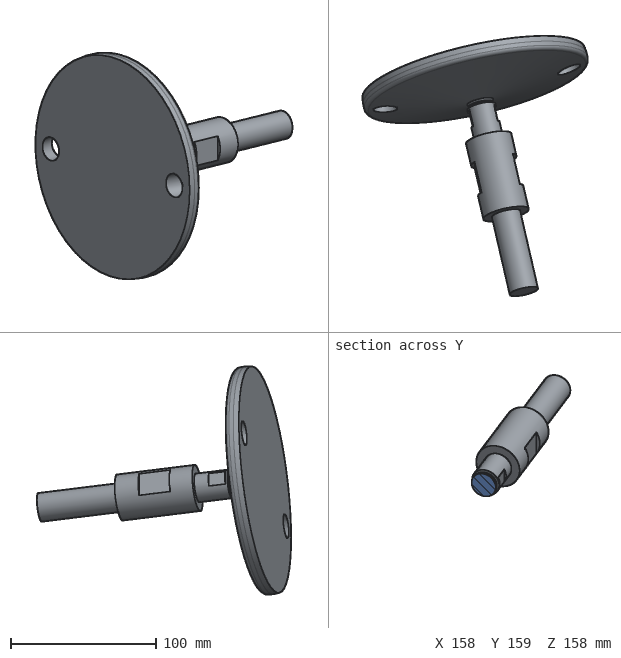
import cadquery as cq
import math

TOTAL_LENGTH = 159.0

PAD_DIAMETER = 158.0
UNDERSIDE_DIAMETER = 157.1
TAPER_HEIGHT = 4.0
RIM_HEIGHT = 7.0
RIM_FILLET = 2.9
CONE_ANGLE = 9.4
CONE_TOP_RADIUS = 9.2
SCREW_HOLE_DIAMETER = 16.5
SCREW_HOLE_OFFSET = 62.8

STUD_DIAMETER = 20.0
STUD_SHOULDER = 24.5
STUD_FLATS_WIDTH = 17.3
STUD_FLATS_START = 26.0
STUD_FLATS_END = 37.7
NECK_RADIUS = 7.3
WAIST_RADIUS = 8.0
COLLAR_RADIUS = 8.7
WAIST_HEIGHT = 22.4
COLLAR_TOP = 23.4

SLEEVE_DIAMETER = 32.1
SLEEVE_START = 47.7
SLEEVE_END = 102.5
SLEEVE_FLATS_WIDTH = 27.0
SLEEVE_FLATS_START = 63.9
SLEEVE_FLATS_END = 85.9

pad_radius = PAD_DIAMETER / 2
cone_slope = math.radians(CONE_ANGLE)
fillet_center_radius = pad_radius - RIM_FILLET
cone_base_radius = fillet_center_radius + RIM_FILLET * math.sin(cone_slope)
cone_base_height = RIM_HEIGHT + RIM_FILLET * math.cos(cone_slope)
pad_height = cone_base_height + (cone_base_radius - CONE_TOP_RADIUS) * math.tan(cone_slope)
fillet_mid_angle = (math.pi / 2 - cone_slope) / 2


def turn(profile):
    """Revolve a closed half profile about the Y axis."""
    return profile.close().revolve(360, (0, 0, 0), (0, 1, 0))


def cut_flats(body, diameter, across, start, end):
    """Cut two parallel flats facing -X and +X between two heights."""
    depth = (diameter - across) / 2
    for side in (-1, 1):
        cutter = cq.Workplane("XY").box(depth, end - start, diameter)
        body = body.cut(cutter.translate((side * (across + depth) / 2, (start + end) / 2, 0)))
    return body


def screw_hole(side):
    """Hole cutter normal to the cone, leaning outward as it rises."""
    direction = cq.Vector(side * math.sin(cone_slope), math.cos(cone_slope), 0)
    base = cq.Vector(side * SCREW_HOLE_OFFSET, 0, 0) - direction * pad_height
    return cq.Solid.makeCylinder(SCREW_HOLE_DIAMETER / 2, 3 * pad_height, base, direction)


def make_pad():
    fillet_mid = (
        fillet_center_radius + RIM_FILLET * math.cos(fillet_mid_angle),
        RIM_HEIGHT + RIM_FILLET * math.sin(fillet_mid_angle),
    )
    pad = turn(
        cq.Workplane("XY")
        .lineTo(UNDERSIDE_DIAMETER / 2, 0)
        .lineTo(pad_radius, TAPER_HEIGHT)
        .lineTo(pad_radius, RIM_HEIGHT)
        .threePointArc(fillet_mid, (cone_base_radius, cone_base_height))
        .lineTo(CONE_TOP_RADIUS, pad_height)
        .lineTo(0, pad_height)
    )
    for side in (-1, 1):
        pad = pad.cut(cq.Workplane(screw_hole(side)))
    return pad


def make_stud():
    stud_radius = STUD_DIAMETER / 2
    stud = turn(
        cq.Workplane("XY")
        .moveTo(0, pad_height)
        .lineTo(CONE_TOP_RADIUS, pad_height)
        .lineTo(WAIST_RADIUS, WAIST_HEIGHT)
        .lineTo(COLLAR_RADIUS, COLLAR_TOP)
        .lineTo(NECK_RADIUS, COLLAR_TOP)
        .lineTo(NECK_RADIUS, STUD_SHOULDER)
        .lineTo(stud_radius, STUD_SHOULDER)
        .lineTo(stud_radius, TOTAL_LENGTH)
        .lineTo(0, TOTAL_LENGTH)
    )
    return cut_flats(stud, STUD_DIAMETER, STUD_FLATS_WIDTH, STUD_FLATS_START, STUD_FLATS_END)


def make_sleeve():
    length = SLEEVE_END - SLEEVE_START
    ring = cq.Workplane("XZ", origin=(0, SLEEVE_START, 0)).circle(SLEEVE_DIAMETER / 2)
    sleeve = ring.circle(STUD_DIAMETER / 2).extrude(-length)
    return cut_flats(sleeve, SLEEVE_DIAMETER, SLEEVE_FLATS_WIDTH, SLEEVE_FLATS_START, SLEEVE_FLATS_END)


pad = make_pad()
stud = make_stud()
sleeve = make_sleeve()
result = cq.Compound.makeCompound([pad.val(), stud.val(), sleeve.val()])